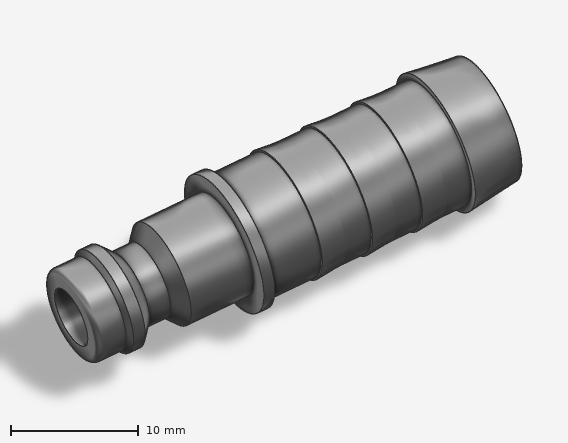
import cadquery as cq

length = 38.0
bore_radius = 2.5

tail_radius = 5.45
end_barb_radius = 6.0
small_barb_radius = 5.62
barb_length = 2.3
end_barb_length = 2 * barb_length
barb_pitch = 2 * barb_length
small_barb_count = 3

flange_radius = 6.0
flange_start = 10 * barb_length
flange_thickness = 1.0

plug_radius = 4.5
neck_radius = 3.25
nose_radius = 4.05
shank_end = 29.7
neck_start = 30.85
neck_end = 32.8
collar_start = 33.95
collar_end = 35.0
nose_start = collar_end + plug_radius - nose_radius
nose_rounding = 0.5


def at(radius, distance):
    """Profile point at a radius and a distance from the hose end."""
    return (radius, length / 2 - distance)


def barb(start, tip_radius, axial_length):
    """Solid ring widening from the tail radius to a sharp rear edge."""
    end = start + axial_length
    profile = [at(0, start), at(tail_radius, start), at(tip_radius, end), at(0, end)]
    return revolve(profile)


def revolve(profile):
    """Turn a closed profile about the Y axis."""
    return cq.Workplane("XY").polyline(profile).close().revolve(360, (0, 0, 0), (0, 1, 0))


flange_end = flange_start + flange_thickness
body = revolve([
    at(0, 0),
    at(tail_radius, 0),
    at(tail_radius, flange_start),
    at(flange_radius, flange_start),
    at(flange_radius, flange_end),
    at(plug_radius, flange_end),
    at(plug_radius, shank_end),
    at(neck_radius, neck_start),
    at(neck_radius, neck_end),
    at(plug_radius, collar_start),
    at(plug_radius, collar_end),
    at(nose_radius, nose_start),
    at(nose_radius, length),
    at(0, length),
])
body = body.faces("<Y").edges().fillet(nose_rounding)

body = body.union(barb(0, end_barb_radius, end_barb_length))
first_small_barb = end_barb_length + barb_length
for index in range(small_barb_count):
    barb_start = first_small_barb + index * barb_pitch
    body = body.union(barb(barb_start, small_barb_radius, barb_length))

bore = cq.Workplane("XZ", origin=(0, length / 2, 0)).circle(bore_radius).extrude(length)
result = body.cut(bore)